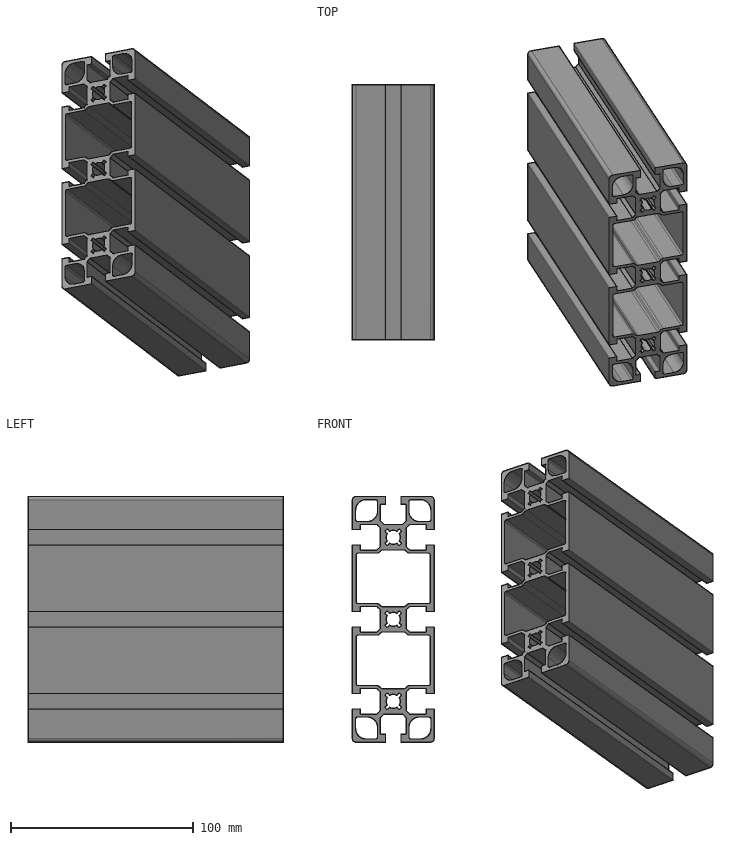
import cadquery as cq

length = 140.0
total_height = 135.0
module_count = 3
module = total_height / module_count
half = module / 2
corner_radius = 2.1

slot_opening = 8.4
lip_thickness = 4.5
slot_width = 14.0
core_half = 7.1
slot_chamfer = 1.8
lip_radius = 0.21

web = 1.7
cell_size = 11.9
cell_large_radius = 5.6
cell_small_radius = 1.0
chamber_wall = 2.2
chamber_radius = 1.0
recess_half_width = 8.1
recess_depth = 1.7
recess_radius = 1.7

channel_radius = 3.8
notch_width = 1.7
notch_reach = 5.6

module_centers = [(i - (module_count - 1) / 2) * module for i in range(module_count)]
top_center = module_centers[-1]


def prism(points):
    """Extrude a closed XZ outline along the full length, centred on Y."""
    return cq.Workplane("XZ").polyline(points).close().extrude(length / 2, both=True)


def edges_within_x(solid, x_min, x_max):
    """Select the lengthwise edges of a solid that lie between two X positions."""
    zone = cq.selectors.BoxSelector((x_min, -length, -half), (x_max, length, half))
    return solid.edges("|Y").edges(zone)


def slot():
    """T-slot opening toward +X, for a module centred on the origin."""
    opening = slot_opening / 2
    cavity = slot_width / 2
    lip_x = half - lip_thickness
    outside_x = half + 2 * lip_radius
    upper = [
        (outside_x, cavity),
        (half, cavity),
        (half, opening),
        (lip_x, opening),
        (lip_x, cavity),
        (core_half + slot_chamfer, cavity),
        (core_half, cavity - slot_chamfer),
    ]
    lower = [(x, -z) for x, z in reversed(upper)]
    groove = prism(upper + lower)
    lip_edges = edges_within_x(groove, lip_x - lip_radius, half + lip_radius)
    return lip_edges.fillet(lip_radius)


def corner_cell():
    """Hollow cell in the +X +Z corner of a module centred on the origin."""
    middle = slot_width / 2 + web + cell_size / 2
    cell = cq.Workplane("XY").box(cell_size, length, cell_size)
    corner_pairs = (("(1, 0, 1)", cell_large_radius), ("(1, 0, -1)", cell_small_radius))
    for diagonal, radius in corner_pairs:
        box_edges = f"|Y and (<{diagonal} or >{diagonal})"
        cell = cell.edges(box_edges).fillet(radius)
    return cell.translate((middle, 0, middle))


def channel():
    """Round screw channel with a notch along each diagonal."""
    bore = cq.Workplane("XZ").circle(channel_radius).extrude(length / 2, both=True)
    bar = cq.Workplane("XY").box(2 * notch_reach, length, notch_width)
    for angle in (45, -45):
        bore = bore.union(bar.rotate((0, 0, 0), (0, 1, 0), angle))
    return bore


def chamber():
    """Wide chamber between two modules, recessed toward both cores."""
    x_wall = half - chamber_wall
    z_wall = half - slot_width / 2 - web
    z_recess = z_wall + recess_depth
    quarter = [
        (x_wall, z_wall),
        (recess_half_width, z_wall),
        (recess_half_width - recess_depth, z_recess),
    ]
    upper = quarter + [(-x, z) for x, z in reversed(quarter)]
    lower = [(x, -z) for x, z in reversed(upper)]
    hollow = prism(upper + lower)
    hollow = hollow.faces("<X or >X").edges("|Y").fillet(chamber_radius)
    recess_limit = recess_half_width + recess_radius
    return edges_within_x(hollow, -recess_limit, recess_limit).fillet(recess_radius)


result = cq.Workplane("XY").box(module, length, total_height)
result = result.edges("|Y").fillet(corner_radius)

side_slot = slot()
screw_channel = channel()
for z in module_centers:
    result = result.cut(side_slot.translate((0, 0, z)))
    result = result.cut(side_slot.mirror("YZ").translate((0, 0, z)))
    result = result.cut(screw_channel.translate((0, 0, z)))

top_slot = side_slot.rotate((0, 0, 0), (0, 1, 0), -90).translate((0, 0, top_center))
result = result.cut(top_slot).cut(top_slot.mirror("XY"))

top_right_cell = corner_cell().translate((0, 0, top_center))
for cell in (top_right_cell, top_right_cell.mirror("YZ")):
    result = result.cut(cell).cut(cell.mirror("XY"))

for lower_center in module_centers[:-1]:
    result = result.cut(chamber().translate((0, 0, lower_center + half)))